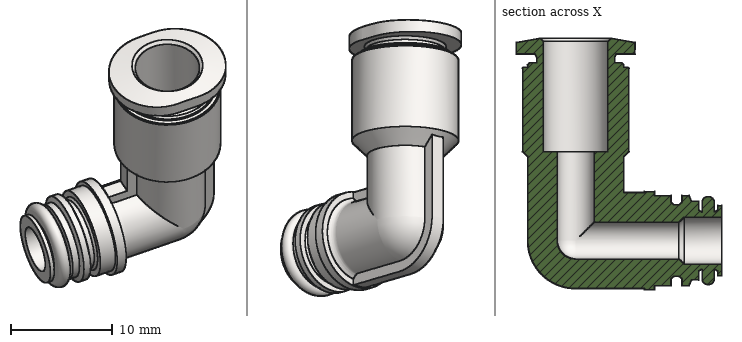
import cadquery as cq
import math


elbow_radius = 3.75
bore_radius = 3.6 / 2
rib_width = 1.5
rib_reach = 4.75

shoulder_bottom = 7.26
socket_radius = 10.55 / 2
shoulder_top = shoulder_bottom + socket_radius - elbow_radius
socket_top = 17.15
socket_chamfer = 0.1
guide_radius = 9.55 / 2
guide_top = 17.57
guide_chamfer = 0.2

flange_radius = 9.75 / 2
overall_height = 24.88
button_top = overall_height - flange_radius
button_bottom = 18.4
button_width = 9.75
button_flat = 2.0
button_length = button_width + button_flat
crown_drop = 0.42
neck_radius = 7.75 / 2
neck_flare = 0.17
neck_flare_height = 0.32
tube_radius = 6.35 / 2
mouth_radius = 7.0 / 2
tube_floor = shoulder_top

plug_end = 20.3 - button_length / 2
flange_start = 6.8
flange_end = 7.79
flange_fillet = 0.7
flange_bevel = 0.25
barrel_end = 9.43
collar_start = 10.5
collar_end = 11.22
seat_start = 11.45
seat_end = 12.17
lip_start = 14.0

barrel_radius = 8.93 / 2
clip_radius = 7.15 / 2
clip_chamfer = 0.25
seat_radius = 7.8 / 2
groove_radius = 5.65 / 2
groove_edge_radius = 3.04
groove_slope = 0.32
lip_radius = 7.0 / 2
ring_radius = 8.75 / 2
ring_width = 1.25
ring_crown_height = 0.5
plug_mouth_radius = 4.6 / 2
plug_mouth_depth = 3.73


def turned_z(points):
    """Revolve a (radius, height) outline about the tube axis."""
    return cq.Workplane("XZ").polyline(points).close().revolve(360, (0, 0), (0, 1))


def plug_turned(outline):
    """Revolve a closed (radius, station) outline about Z and lay it along -Y."""
    return outline.revolve(360, (0, 0), (0, 1)).rotate((0, 0, 0), (1, 0, 0), 90)


def make_elbow():
    upright = cq.Workplane("XY").circle(elbow_radius).extrude(shoulder_bottom)
    return upright.union(cq.Workplane("XY").sphere(elbow_radius))


def make_rib():
    """Flat web around the outside and inside of the elbow, in the YZ plane."""
    diagonal = rib_reach * math.sqrt(0.5)
    outline = (
        cq.Workplane("YZ")
        .moveTo(rib_reach, shoulder_top)
        .lineTo(rib_reach, 0)
        .threePointArc((diagonal, -diagonal), (0, -rib_reach))
        .lineTo(-flange_end, -rib_reach)
        .lineTo(-flange_end, rib_reach)
        .lineTo(-rib_reach, rib_reach)
        .lineTo(-rib_reach, shoulder_top)
        .close()
    )
    return outline.extrude(rib_width / 2, both=True)


def make_socket():
    return turned_z([
        (0, shoulder_bottom),
        (elbow_radius, shoulder_bottom),
        (socket_radius, shoulder_top),
        (socket_radius, socket_top - socket_chamfer),
        (socket_radius - socket_chamfer, socket_top),
        (guide_radius, socket_top),
        (guide_radius, guide_top - guide_chamfer),
        (guide_radius - guide_chamfer, guide_top),
        (neck_radius, guide_top),
        (neck_radius, button_bottom - neck_flare_height),
        (neck_radius + neck_flare, button_bottom),
        (0, button_bottom),
    ])


def make_button():
    """Rounded oval plate whose top slopes down from the tube mouth."""
    plate = (
        cq.Workplane("XY", origin=(0, 0, button_bottom))
        .slot2D(button_length, button_width, 90)
        .extrude(button_top - button_bottom)
    )
    crown = turned_z([
        (0, button_bottom),
        (button_length / 2, button_bottom),
        (button_length / 2, button_top - crown_drop),
        (mouth_radius, button_top),
        (0, button_top),
    ])
    return plate.intersect(crown)


def make_plug():
    fillet_end = flange_start - flange_bevel
    fillet_start = fillet_end - flange_fillet * math.sin(math.pi / 4)
    fillet_middle = (
        elbow_radius + flange_fillet * (1 - math.cos(math.pi / 8)),
        fillet_start + flange_fillet * math.sin(math.pi / 8),
    )
    bevel_radius = elbow_radius + flange_fillet * (1 - math.cos(math.pi / 4))
    outline = (
        cq.Workplane("XZ")
        .lineTo(elbow_radius, 0)
        .lineTo(elbow_radius, fillet_start)
        .threePointArc(fillet_middle, (bevel_radius, fillet_end))
        .lineTo(bevel_radius + flange_bevel, flange_start)
        .lineTo(flange_radius, flange_start)
        .lineTo(flange_radius, flange_end)
        .lineTo(barrel_radius, flange_end)
        .lineTo(barrel_radius, barrel_end)
        .lineTo(clip_radius + clip_chamfer, barrel_end)
        .lineTo(clip_radius, barrel_end + clip_chamfer)
        .lineTo(clip_radius, collar_start - clip_chamfer)
        .lineTo(clip_radius + clip_chamfer, collar_start)
        .lineTo(barrel_radius, collar_start)
        .lineTo(barrel_radius, collar_end)
        .lineTo(seat_radius, seat_start)
        .lineTo(seat_radius, seat_end)
        .lineTo(groove_edge_radius, seat_end)
        .lineTo(groove_radius, seat_end + groove_slope)
        .lineTo(groove_radius, lip_start - groove_slope)
        .lineTo(groove_edge_radius, lip_start)
        .lineTo(lip_radius, lip_start)
        .lineTo(lip_radius, plug_end)
        .lineTo(0, plug_end)
        .close()
    )
    return plug_turned(outline)


def make_seal_ring():
    """Sealing ring with a round crown, seated on the floor of its groove."""
    middle = (seat_end + lip_start) / 2
    low = middle - ring_width / 2
    high = middle + ring_width / 2
    crown_start = ring_radius - ring_crown_height
    outline = (
        cq.Workplane("XZ")
        .moveTo(groove_radius, low)
        .lineTo(crown_start, low)
        .threePointArc((ring_radius, middle), (crown_start, high))
        .lineTo(groove_radius, high)
        .close()
    )
    return plug_turned(outline)


def make_passage():
    """Bent bore with the tube seat above and the wider plug mouth, joined by a 45 degree cone."""
    mouth_floor = plug_end - plug_mouth_depth
    mouth_chamfer = mouth_radius - tube_radius
    upright = turned_z([
        (0, 0),
        (bore_radius, 0),
        (bore_radius, tube_floor),
        (tube_radius, tube_floor),
        (tube_radius, button_top - mouth_chamfer),
        (mouth_radius, button_top),
        (0, button_top),
    ])
    level = plug_turned(cq.Workplane("XZ").polyline([
        (0, 0),
        (bore_radius, 0),
        (bore_radius, mouth_floor - (plug_mouth_radius - bore_radius)),
        (plug_mouth_radius, mouth_floor),
        (plug_mouth_radius, plug_end),
        (0, plug_end),
    ]).close())
    return upright.union(level).union(cq.Workplane("XY").sphere(bore_radius))


result = (
    make_elbow()
    .union(make_rib())
    .union(make_plug())
    .union(make_seal_ring())
    .union(make_socket())
    .union(make_button())
    .cut(make_passage())
)